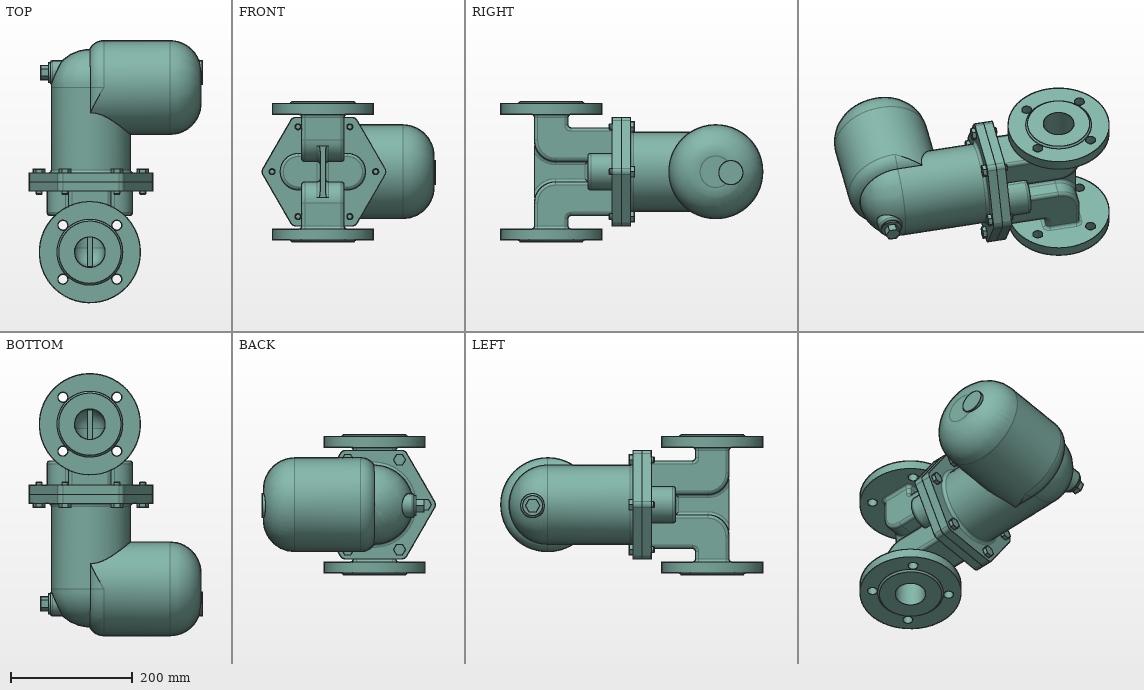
import cadquery as cq
import math

face_to_face = 230.0
flange_diameter = 166.0
flange_thickness = 18.0
raised_face_height = 3.0
raised_face_base_diameter = 108.0
raised_face_top_diameter = 102.0
flange_hole_diameter = 16.0
flange_hole_circle = 125.0
flange_hole_count = 4
bore_diameter = 50.0

arm_width = 70.0
arm_depth = 55.4
arm_inner_z = 16.6
arm_bend_radius = 35.0
arm_edge_radius = 5.5
arm_root_radius = 5.0

rib_thickness = 8.5
rib_half_height = 42.5
rib_root_radius = 5.0

chamber_length = 140.0
chamber_radius = 30.0
chamber_front_y = 60.0
chamber_edge_radius = 5.0

joint_x = 1.7
joint_z = 0.0
joint_y = 115.0
plate_thickness = 15.0
plate_half_height = 89.2
plate_corner_radius = 10.0

bolt_diameter = 10.0
bolt_circle_radius = 85.0
bolt_count = 6
bolt_head_across_flats = 17.0
bolt_head_height = 6.4
bolt_tip_length = 5.0
bolt_tip_chamfer = 1.0

neck_diameter = 130.0
neck_dome_radius = 62.5
neck_root_radius = 5.0
float_diameter = 154.18
float_axis_y = 269.91
float_end_x = 182.3
float_dome_radius = 51.3
float_shoulder_length = 22.8
float_shoulder_start_radius = 63.5

boss_diameter = 39.5
boss_y = 294.5
boss_z = -1.5
boss_left_x = -64.5
boss_right_x = 184.62
boss_edge_radius = 3.5

plug_collar_diameter = 33.0
plug_collar_thickness = 3.5
plug_hex_across_flats = 20.5
plug_hex_length = 12.6

half_length = face_to_face / 2
flange_outer_z = half_length - raised_face_height
flange_inner_z = flange_outer_z - flange_thickness
arm_outer_z = arm_inner_z + arm_depth
bend_y = arm_bend_radius - arm_depth / 2
bend_z = arm_inner_z + arm_bend_radius
plate_front_y = joint_y - plate_thickness
plate_back_y = joint_y + plate_thickness
bore_radius = bore_diameter / 2
float_radius = float_diameter / 2
neck_radius = neck_diameter / 2


def hexagon_across_flats(flats):
    """Corner-to-corner size of a regular hexagon."""
    return flats / math.cos(math.pi / 6)


def bolt_places():
    """(x, z) of every bolt axis."""
    places = []
    for i in range(bolt_count):
        angle = 2 * math.pi * i / bolt_count
        x = joint_x + bolt_circle_radius * math.cos(angle)
        z = joint_z + bolt_circle_radius * math.sin(angle)
        places.append((x, z))
    return places


def cylinder_along_y(diameter, x, z, y_start, y_end):
    return cq.Workplane("XZ", origin=(x, y_start, z)).circle(diameter / 2).extrude(y_start - y_end)


def cylinder_along_x(diameter, y, z, x_start, x_end):
    return cq.Workplane("YZ", origin=(x_start, y, z)).circle(diameter / 2).extrude(x_end - x_start)


def joint_plate(y_start):
    """Hexagonal plate with rounded corners and bolt holes, thickness along +Y."""
    plate = (
        cq.Workplane("XZ", origin=(joint_x, y_start, joint_z))
        .polygon(6, hexagon_across_flats(2 * plate_half_height))
        .extrude(-plate_thickness)
        .edges("|Y")
        .fillet(plate_corner_radius)
    )
    for x, z in bolt_places():
        plate = plate.cut(cylinder_along_y(bolt_diameter, x, z, y_start, y_start + plate_thickness))
    return plate


def pipe_flange():
    """Upper pipe flange with its tapered raised face and bolt holes; the bore is cut later."""
    disc = (
        cq.Workplane("XY")
        .workplane(offset=flange_inner_z)
        .circle(flange_diameter / 2)
        .extrude(flange_thickness)
    )
    profile = [
        (0, flange_outer_z),
        (raised_face_base_diameter / 2, flange_outer_z),
        (raised_face_top_diameter / 2, half_length),
        (0, half_length),
    ]
    raised_face = cq.Workplane("XZ").polyline(profile).close().revolve(360, (0, 0, 0), (0, 1, 0))
    holes = (
        cq.Workplane("XY")
        .workplane(offset=flange_inner_z)
        .polarArray(flange_hole_circle / 2, 180 / flange_hole_count, 360, flange_hole_count)
        .circle(flange_hole_diameter / 2)
        .extrude(flange_thickness)
    )
    return disc.union(raised_face).cut(holes)


def elbow_arm():
    """Rectangular arm from the joint plate up to the pipe flange, rounded along its long edges."""
    half_depth = arm_depth / 2
    arc_mid = (
        bend_y - arm_bend_radius * math.cos(math.pi / 4),
        bend_z - arm_bend_radius * math.sin(math.pi / 4),
    )
    arm = (
        cq.Workplane("YZ", origin=(-arm_width / 2, 0, 0))
        .moveTo(plate_front_y, arm_inner_z)
        .lineTo(bend_y, arm_inner_z)
        .threePointArc(arc_mid, (-half_depth, bend_z))
        .lineTo(-half_depth, flange_inner_z)
        .lineTo(half_depth, flange_inner_z)
        .lineTo(half_depth, arm_outer_z)
        .lineTo(plate_front_y, arm_outer_z)
        .close()
        .extrude(arm_width)
    )
    inner_corner = cq.selectors.NearestToPointSelector((0, half_depth, arm_outer_z))
    arm = arm.edges(inner_corner).fillet(arm_root_radius)
    long_edges = arm.faces("<X or >X").edges("not (>Z or >Y)")
    return arm.newObject(long_edges.vals()).fillet(arm_edge_radius)


def arm_with_flange():
    """Upper arm and pipe flange, with a fillet where the arm meets the flange."""
    joined = elbow_arm().union(pipe_flange())
    reach = 1.0
    root = cq.selectors.BoxSelector(
        (-arm_width / 2 - reach, -arm_depth / 2 - reach, flange_inner_z - reach),
        (arm_width / 2 + reach, arm_depth / 2 + reach, flange_inner_z + reach),
        boundingbox=True,
    )
    return joined.edges(root).fillet(arm_root_radius)


def flow_passage():
    """Upper bore: down from the flange face, round the bend and along to the joint."""
    riser = cq.Workplane("XY").workplane(offset=bend_z).circle(bore_radius).extrude(half_length - bend_z)
    run_z = arm_inner_z + arm_depth / 2
    run = cylinder_along_y(bore_diameter, 0, run_z, bend_y, joint_y)
    half_chord = math.sqrt(bore_radius**2 - bend_y**2)
    bend = (
        cq.Workplane("XY", origin=(0, 0, bend_z))
        .moveTo(-half_chord, bend_y)
        .threePointArc((0, -bore_radius), (half_chord, bend_y))
        .close()
        .revolve(90, (0, bend_y, 0), (1, bend_y, 0))
    )
    return riser.union(run).union(bend)


def chamber():
    """Obround chamber standing out from the front of the joint plate."""
    return (
        cq.Workplane("XZ", origin=(0, plate_front_y, 0))
        .slot2D(chamber_length, 2 * chamber_radius)
        .extrude(plate_front_y - chamber_front_y)
        .faces("<Y")
        .edges()
        .fillet(chamber_edge_radius)
    )


def rib_slab(thickness):
    """Flat slab in the YZ plane, reaching from the chamber front to the arm fronts and into both bores."""
    depth = chamber_front_y + arm_depth / 2
    centre = (0, chamber_front_y - depth / 2, 0)
    return cq.Workplane("XY").box(thickness, depth, 2 * rib_half_height).translate(centre)


def rib_side_pocket():
    """Open space on the +X side of the rib, bounded by the arms and chamber, with rounded root edges."""
    arc_y = bend_y - arm_bend_radius * math.sin(math.pi / 4)
    arc_z = bend_z - arm_bend_radius * math.cos(math.pi / 4)
    front_y = bend_y - arm_bend_radius
    pocket = (
        cq.Workplane("YZ", origin=(rib_thickness / 2, 0, 0))
        .moveTo(chamber_front_y, -arm_inner_z)
        .lineTo(chamber_front_y, arm_inner_z)
        .lineTo(bend_y, arm_inner_z)
        .threePointArc((arc_y, arc_z), (front_y, bend_z))
        .lineTo(front_y, -bend_z)
        .threePointArc((arc_y, -arc_z), (bend_y, -arm_inner_z))
        .close()
        .extrude(arm_width / 2)
    )
    root_edges = pocket.faces("<X").edges("not <Y")
    return pocket.newObject(root_edges.vals()).fillet(rib_root_radius)


def rib_with_roots():
    """Rib widened by its root fillets where it meets the arms and the chamber."""
    pocket = rib_side_pocket()
    return rib_slab(rib_thickness + 2 * rib_root_radius).cut(pocket).cut(pocket.mirror("YZ"))


def make_casting():
    upper = arm_with_flange()
    passage = flow_passage()
    return (
        joint_plate(plate_front_y)
        .union(chamber())
        .union(upper)
        .union(upper.mirror("XY"))
        .union(rib_with_roots())
        .cut(passage)
        .cut(passage.mirror("XY"))
        .union(rib_slab(rib_thickness))
    )


def neck():
    """Neck along Y, closed by a dome that blends from a small flat crown."""
    crown_radius = neck_radius - neck_dome_radius
    dome_mid = (
        crown_radius + neck_dome_radius * math.sin(math.pi / 4),
        float_axis_y + neck_dome_radius * math.cos(math.pi / 4),
    )
    root_centre = (neck_radius + neck_root_radius, plate_back_y + neck_root_radius)
    root_mid = (
        root_centre[0] - neck_root_radius * math.sin(math.pi / 4),
        root_centre[1] - neck_root_radius * math.cos(math.pi / 4),
    )
    return (
        cq.Workplane("XY", origin=(joint_x, 0, joint_z))
        .moveTo(0, plate_back_y)
        .lineTo(root_centre[0], plate_back_y)
        .threePointArc(root_mid, (neck_radius, root_centre[1]))
        .lineTo(neck_radius, float_axis_y)
        .threePointArc(dome_mid, (crown_radius, float_axis_y + neck_dome_radius))
        .lineTo(0, float_axis_y + neck_dome_radius)
        .close()
        .revolve(360, (0, 0, 0), (0, 1, 0))
    )


def shoulder_profile(plane):
    """Half section of the float chamber's left end: an arc rising from the neck to full radius."""
    rise = float_radius - float_shoulder_start_radius
    arc_radius = (float_shoulder_length**2 + rise**2) / (2 * rise)
    half_angle = math.asin(float_shoulder_length / arc_radius) / 2
    arc_mid = (
        float_shoulder_length - arc_radius * math.sin(half_angle),
        float_radius - arc_radius * (1 - math.cos(half_angle)),
    )
    return (
        plane.lineTo(0, float_shoulder_start_radius)
        .threePointArc(arc_mid, (float_shoulder_length, float_radius))
        .lineTo(float_shoulder_length, 0)
        .close()
    )


def float_shoulder():
    """Left end of the float chamber: turned above the axis, straight-sided below it."""
    axis_point = (0, float_axis_y, 0)
    turned = shoulder_profile(cq.Workplane("XY", origin=axis_point)).revolve(360, (0, 0, 0), (1, 0, 0))
    above = (
        cq.Workplane("XY")
        .box(2 * float_shoulder_length, float_radius, 2 * float_radius)
        .translate((0, float_axis_y + float_radius / 2, 0))
    )
    side = shoulder_profile(cq.Workplane("XZ", origin=axis_point)).extrude(float_radius)
    below = side.union(side.mirror("XY"))
    envelope = cylinder_along_x(float_diameter, float_axis_y, 0, 0, float_shoulder_length)
    return turned.intersect(above).union(below.intersect(envelope))


def float_chamber():
    straight_and_dome = (
        cylinder_along_x(float_diameter, float_axis_y, 0, float_shoulder_length, float_end_x)
        .faces(">X")
        .edges()
        .fillet(float_dome_radius)
    )
    return straight_and_dome.union(float_shoulder())


def cover_boss():
    """Round boss through the cover, its left rim rounded."""
    return (
        cylinder_along_x(boss_diameter, boss_y, boss_z, boss_left_x, boss_right_x)
        .faces("<X")
        .edges()
        .fillet(boss_edge_radius)
    )


def make_cover():
    return joint_plate(joint_y).union(neck()).union(float_chamber()).union(cover_boss())


def make_plug():
    """Plug seated on the left end of the boss: round collar and hexagonal head."""
    collar_x = boss_left_x - plug_collar_thickness
    collar = cylinder_along_x(plug_collar_diameter, boss_y, boss_z, collar_x, boss_left_x)
    head = (
        cq.Workplane("YZ", origin=(collar_x, boss_y, boss_z))
        .polygon(6, hexagon_across_flats(plug_hex_across_flats))
        .extrude(-plug_hex_length)
    )
    return collar.union(head)


def make_bolt(x, z):
    """Bolt with its hexagonal head on the back of the cover plate and its tip past the casting plate."""
    tip_y = plate_front_y - bolt_tip_length
    shank = cylinder_along_y(bolt_diameter, x, z, tip_y, plate_back_y).faces("<Y").chamfer(bolt_tip_chamfer)
    head = (
        cq.Workplane("XZ", origin=(x, plate_back_y, z))
        .polygon(6, hexagon_across_flats(bolt_head_across_flats))
        .extrude(-bolt_head_height)
    )
    return shank.union(head)


casting = make_casting()
cover = make_cover()
plug = make_plug()
bolts = [make_bolt(x, z).val() for x, z in bolt_places()]

result = cq.Compound.makeCompound([casting.val(), cover.val(), plug.val(), *bolts])